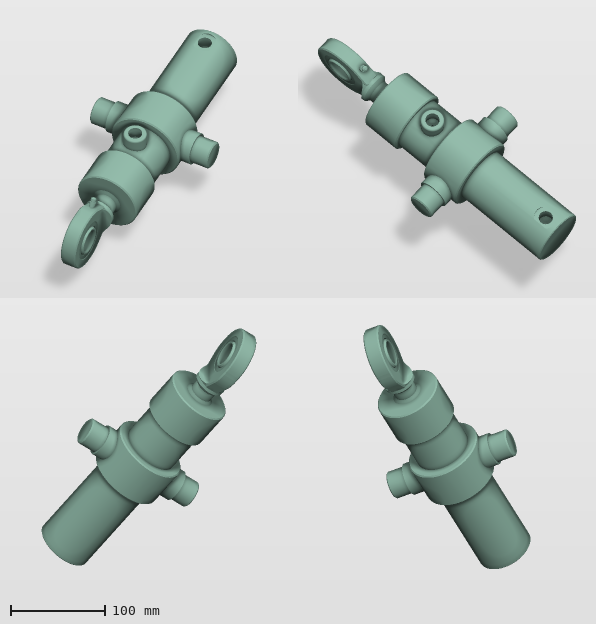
import cadquery as cq
import math

overall_length = 332.0
overall_width = 140.0
overall_height = 84.0

barrel_dia = 60.0
barrel_chamfer = 1.0
ring_dia = 80.0
ring_start_y = 109.5
ring_length = 45.0
ring_chamfer = 1.3
head_dia = 70.0
head_start_y = 198.2
head_length = 43.5
head_chamfer = 1.3
head_face_y = head_start_y + head_length

trunnion_y = ring_start_y + ring_length / 2
trunnion_collar_dia = 35.0
trunnion_collar_reach = 49.8
trunnion_pin_dia = 30.0
trunnion_pin_chamfer = 1.3

port_dia = 15.0
port_depth = 14.0
drill_point_angle = 118.0
rear_port_y = 17.3
spotface_dia = 25.0
spotface_z = 28.5
boss_y = 177.0
boss_dia = 25.0
boss_top_z = overall_height - ring_dia / 2
boss_fillet = 2.0
oil_passage_dia = 2.6

rod_dia = 32.0
neck_dia = 25.0
rod_taper_length = 2.5
collar_dia = 33.5
collar_chamfer = (collar_dia - neck_dia) / 2
collar_start_y = 254.3
collar_end_y = 262.5

eye_radius = 32.0
eye_straight = 5.0
eye_thickness = 17.3
eye_chamfer = 1.3
eye_y = overall_length - eye_radius
back_arc_y = eye_y - eye_straight
shoulder_half_width = 12.0
shoulder_y = 265.3
shoulder_length = 4.5
seat_recess_dia = 42.0
seat_recess_depth = 0.5
seat_mouth_dia = 33.5
seat_mouth_depth = 1.0

ball_dia = 35.5
ball_width = 20.0
ball_bore_dia = 25.0
ball_bore_chamfer = 0.5

nipple_tilt = 34.0
nipple_stem_dia = 5.5
nipple_stem_height = 2.3
nipple_nut_dia = 7.0
nipple_nut_end = 5.5
nipple_groove_dia = 4.0
nipple_groove_end = 7.3
nipple_head_dia = 6.0
nipple_head_end = 10.0
nipple_tip_dia = 3.0
nipple_height = 11.0
nipple_root = 2.0


def cylinder_along_y(dia, start_y, length):
    """Round bar on the cylinder axis, running forward from start_y."""
    return cq.Workplane("XZ", origin=(0, -start_y, 0)).circle(dia / 2).extrude(length)


def turned_about_y(points):
    """Solid of revolution from (radius, forward distance) points."""
    return (
        cq.Workplane("XY")
        .polyline([(radius, -y) for radius, y in points])
        .close()
        .revolve(360, (0, 0, 0), (0, 1, 0))
    )


def drilled_port(y, face_z):
    """Blind drilled hole with a conical bottom, going down from face_z."""
    radius = port_dia / 2
    point_depth = radius / math.tan(math.radians(drill_point_angle / 2))
    return (
        cq.Workplane("XZ", origin=(0, -y, 0))
        .moveTo(0, face_z)
        .lineTo(radius, face_z)
        .lineTo(radius, face_z - port_depth)
        .lineTo(0, face_z - port_depth - point_depth)
        .close()
        .revolve(360, (0, 0, 0), (0, 1, 0))
    )


def trunnion(side):
    """Collar and pin on one side of the ring; side is +1 or -1."""
    plane = cq.Workplane("YZ", origin=(0, -trunnion_y, 0))
    collar = plane.circle(trunnion_collar_dia / 2).extrude(side * trunnion_collar_reach)
    pin = plane.circle(trunnion_pin_dia / 2).extrude(side * overall_width / 2)
    end_face = ">X" if side > 0 else "<X"
    return collar.union(pin.faces(end_face).chamfer(trunnion_pin_chamfer))


def make_housing():
    barrel = cylinder_along_y(barrel_dia, 0, head_start_y).faces(">Y").chamfer(barrel_chamfer)
    ring = cylinder_along_y(ring_dia, ring_start_y, ring_length).faces("<Y or >Y").chamfer(ring_chamfer)
    head = cylinder_along_y(head_dia, head_start_y, head_length).faces("<Y or >Y").chamfer(head_chamfer)
    boss = cq.Workplane("XY", origin=(0, -boss_y, 0)).circle(boss_dia / 2).extrude(boss_top_z)
    boss = boss.faces(">Z").edges().fillet(boss_fillet)
    housing = barrel.union(ring).union(head).union(boss)
    for side in (-1, 1):
        housing = housing.union(trunnion(side))

    spotface = cq.Workplane("XY", origin=(0, -rear_port_y, spotface_z)).circle(spotface_dia / 2)
    housing = housing.cut(spotface.extrude(barrel_dia / 2))
    housing = housing.cut(drilled_port(rear_port_y, spotface_z))
    housing = housing.cut(drilled_port(boss_y, boss_top_z))
    oil_passage = cq.Workplane("XY", origin=(0, -boss_y, 0)).circle(oil_passage_dia / 2)
    housing = housing.cut(oil_passage.extrude(boss_top_z))

    return housing.cut(cylinder_along_y(rod_dia, head_start_y, head_length))


def tangent_point():
    """Forward distance and Z where the line from the collar edge touches the eye's back arc."""
    offset_y = back_arc_y - collar_end_y
    collar_radius = collar_dia / 2
    distance = math.hypot(offset_y, collar_radius)
    angle = math.atan2(collar_radius, offset_y) + math.acos(eye_radius / distance)
    return back_arc_y - eye_radius * math.cos(angle), eye_radius * math.sin(angle)


def make_eye_plate():
    """Flat plate: round front, short straight stretch, round back and tangents to the collar."""
    touch_y, touch_z = tangent_point()
    mid_angle = (math.atan2(touch_z, back_arc_y - touch_y) + math.pi / 2) / 2
    mid_y = back_arc_y - eye_radius * math.cos(mid_angle)
    mid_z = eye_radius * math.sin(mid_angle)
    collar_radius = collar_dia / 2
    return (
        cq.Workplane("YZ")
        .moveTo(-collar_end_y, collar_radius)
        .lineTo(-touch_y, touch_z)
        .threePointArc((-mid_y, mid_z), (-back_arc_y, eye_radius))
        .lineTo(-eye_y, eye_radius)
        .threePointArc((-overall_length, 0), (-eye_y, -eye_radius))
        .lineTo(-back_arc_y, -eye_radius)
        .threePointArc((-mid_y, -mid_z), (-touch_y, -touch_z))
        .lineTo(-collar_end_y, -collar_radius)
        .close()
        .extrude(eye_thickness / 2, both=True)
        .faces("<X or >X")
        .chamfer(eye_chamfer)
    )


def make_shoulder():
    """Blend from the round collar to the flat plate, hollowed by a concave radius on each side."""
    touch_y, touch_z = tangent_point()
    half_plate = eye_thickness / 2
    end_y = shoulder_y + shoulder_length
    flank = shoulder_half_width - half_plate
    arc_radius = (flank**2 + shoulder_length**2) / (2 * flank)
    blend = (
        cq.Workplane("XY")
        .moveTo(0, -collar_end_y)
        .lineTo(collar_dia / 2, -collar_end_y)
        .lineTo(shoulder_half_width, -shoulder_y)
        .radiusArc((half_plate, -end_y), -arc_radius)
        .lineTo(0, -end_y)
        .close()
        .extrude(eye_radius, both=True)
    )
    blend = blend.union(blend.mirror("YZ"))
    flare = turned_about_y(
        [(0, collar_end_y), (collar_dia / 2, collar_end_y), (touch_z, touch_y), (0, touch_y)]
    )
    return blend.intersect(flare)


def make_nipple():
    """Grease nipple standing radially on the back arc of the eye."""
    profile = [
        (0, -nipple_root),
        (nipple_stem_dia / 2, -nipple_root),
        (nipple_stem_dia / 2, nipple_stem_height),
        (nipple_nut_dia / 2, nipple_stem_height),
        (nipple_nut_dia / 2, nipple_nut_end),
        (nipple_groove_dia / 2, nipple_nut_end),
        (nipple_groove_dia / 2, nipple_groove_end),
        (nipple_head_dia / 2, nipple_groove_end),
        (nipple_head_dia / 2, nipple_head_end),
        (nipple_tip_dia / 2, nipple_height),
        (0, nipple_height),
    ]
    nipple = cq.Workplane("XZ").polyline(profile).close().revolve(360, (0, 0, 0), (0, 1, 0))
    nipple = nipple.translate((0, 0, eye_radius))
    nipple = nipple.rotate((0, 0, 0), (1, 0, 0), -nipple_tilt)
    return nipple.translate((0, -back_arc_y, 0))


def make_half_seat():
    """Material removed from the +X half of the eye: ball seat, tapered mouth, bevelled face recess."""
    face_x = eye_thickness / 2
    floor_x = face_x - seat_recess_depth
    floor_radius = seat_recess_dia / 2
    ball_radius = ball_dia / 2
    mouth_x = floor_x - seat_mouth_depth
    mouth_inner_radius = math.sqrt(ball_radius**2 - mouth_x**2)
    seat = (
        cq.Workplane("XY")
        .lineTo(face_x, 0)
        .lineTo(face_x, floor_radius + seat_recess_depth)
        .lineTo(floor_x, floor_radius)
        .lineTo(floor_x, seat_mouth_dia / 2)
        .lineTo(mouth_x, mouth_inner_radius)
        .radiusArc((0, ball_radius), -ball_radius)
        .close()
        .revolve(360, (0, 0, 0), (1, 0, 0))
    )
    return seat.translate((0, -eye_y, 0))


def make_rod():
    rod = turned_about_y(
        [
            (0, head_start_y),
            (rod_dia / 2, head_start_y),
            (rod_dia / 2, head_face_y),
            (neck_dia / 2, head_face_y + rod_taper_length),
            (neck_dia / 2, collar_start_y),
            (collar_dia / 2, collar_start_y + collar_chamfer),
            (collar_dia / 2, collar_end_y),
            (0, collar_end_y),
        ]
    )
    rod = rod.union(make_eye_plate()).union(make_shoulder()).union(make_nipple())
    half_seat = make_half_seat()
    return rod.cut(half_seat).cut(half_seat.mirror("YZ"))


def make_bearing_ring():
    """Ball with flat ends and a chamfered bore, lying in the eye's seat."""
    ball = cq.Workplane("XY").sphere(ball_dia / 2)
    ball = ball.intersect(cq.Workplane("XY").box(ball_width, ball_dia, ball_dia))
    bore = cq.Workplane("YZ").circle(ball_bore_dia / 2).extrude(ball_width, both=True)
    ball = ball.cut(bore)
    innermost = cq.selectors.RadiusNthSelector(0)
    ball = ball.faces("<X or >X").edges(innermost).chamfer(ball_bore_chamfer)
    return ball.translate((0, -eye_y, 0))


housing = make_housing()
rod = make_rod()
bearing_ring = make_bearing_ring()

result = cq.Compound.makeCompound([housing.val(), rod.val(), bearing_ring.val()])